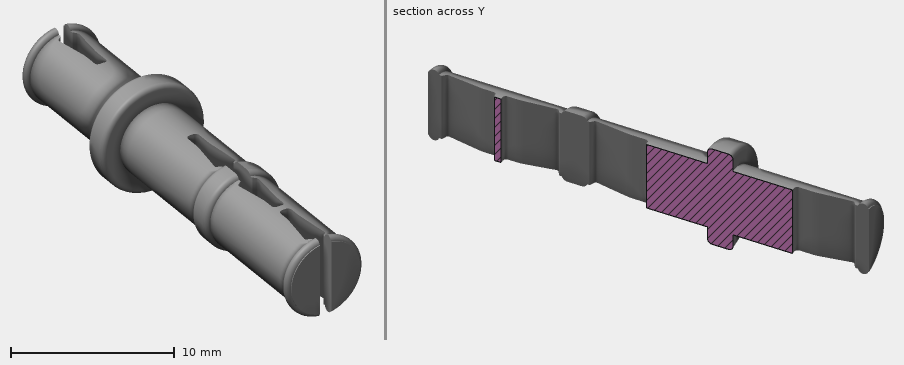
import cadquery as cq

pin_length = 30.1
body_radius = 2.5

flange_radius = 3.75
flange_width = 1.77
flange_center = 9.96
flange_fillet = 0.35
snap_radius = 2.78
snap_width = 1.77
snap_center = 20.1
snap_fillet = 0.4
rim_bead_radius = 0.35
rim_inset = 0.4

neck_half_width = 0.41
waist_half_width = 0.75
end_neck_length = 0.95
snap_neck_length = 1.05
shoulder_run = 0.22
taper_length = 2.5
long_tail_length = 1.33
short_tail_length = 1.03
shoulder_fillet = 0.12
waist_fillet = 0.2
tail_blend = 3.0
slot_end_fillet = 0.25


def disk(start, width, radius):
    """Solid disk around the X axis, from X = start."""
    return cq.Workplane("YZ").workplane(offset=start).circle(radius).extrude(width)


def flat_ring(center, width, radius, fillet):
    """Collar with rounded outer edges."""
    return disk(center - width / 2, width, radius).edges("%CIRCLE").fillet(fillet)


def end_rim(center):
    """Half-round bead around the body."""
    ring_radius = snap_radius - rim_bead_radius
    left = center - rim_bead_radius
    right = center + rim_bead_radius
    return (
        cq.Workplane("XY")
        .moveTo(left, 0)
        .lineTo(left, ring_radius)
        .threePointArc((center, snap_radius), (right, ring_radius))
        .lineTo(right, 0)
        .close()
        .revolve(360, (0, 0, 0), (1, 0, 0))
    )


def edges_at(solid, x):
    """Vertical edges of a slot at the given X."""
    margin = 0.01
    box = cq.selectors.BoxSelector(
        (x - margin, -flange_radius, -flange_radius),
        (x + margin, flange_radius, flange_radius),
    )
    return solid.edges("|Z").edges(box)


def spring_slot(mouth, direction, neck_length, tail_length):
    """Slot with a neck, a shoulder up to a wide waist, a taper and a narrow tail.

    It starts at X = mouth and runs toward +X or -X as direction is 1 or -1.
    """
    shoulder = mouth + direction * neck_length
    waist = shoulder + direction * shoulder_run
    tail = waist + direction * taper_length
    tip = tail + direction * tail_length
    upper_wall = [
        (mouth, neck_half_width),
        (shoulder, neck_half_width),
        (waist, waist_half_width),
        (tail, neck_half_width),
        (tip, neck_half_width),
    ]
    lower_wall = [(x, -y) for x, y in reversed(upper_wall)]
    slot = (
        cq.Workplane("XY")
        .workplane(offset=-flange_radius)
        .polyline(upper_wall + lower_wall)
        .close()
        .extrude(2 * flange_radius)
    )
    roundings = [
        (tip, slot_end_fillet),
        (tail, tail_blend),
        (waist, waist_fillet),
        (shoulder, shoulder_fillet),
    ]
    for x, radius in roundings:
        slot = edges_at(slot, x).fillet(radius)
    return slot


body = disk(0, pin_length, body_radius)

rings = [
    end_rim(rim_inset),
    flat_ring(flange_center, flange_width, flange_radius, flange_fillet),
    flat_ring(snap_center, snap_width, snap_radius, snap_fillet),
    end_rim(pin_length - rim_inset),
]

slots = [
    spring_slot(0, 1, end_neck_length, long_tail_length),
    spring_slot(snap_center, -1, snap_neck_length, long_tail_length),
    spring_slot(snap_center, 1, snap_neck_length, short_tail_length),
    spring_slot(pin_length, -1, end_neck_length, short_tail_length),
]

result = body
for ring in rings:
    result = result.union(ring)
for slot in slots:
    result = result.cut(slot)